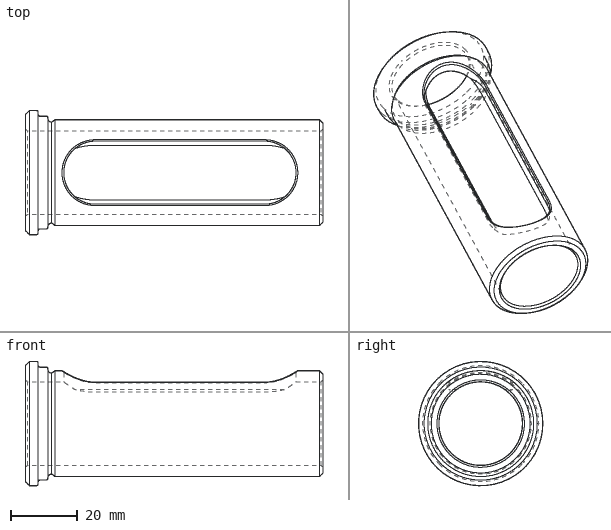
import cadquery as cq

length = 89.3
flange_diameter = 37.3
ring_diameter = 33.9
neck_diameter = 30.35
neck_cone_length = 1.1
shank_diameter = 31.8
bore_diameter = 25.0

flange_end = 3.8
ring_end = 6.8
shank_start = 8.9

flange_front_chamfer = 1.25
flange_back_fillet = 0.5
flange_root_fillet = 0.5
ring_fillet = 0.5
shank_chamfer = 1.1
bore_chamfer = 0.6

window_center = 46.3
window_straight_length = 50.7
window_width = 18.9
window_wall_bottom = 10.2
window_taper_angle = 59.0
window_taper_depth = 2.2
window_chamfer = 0.5

flange_radius = flange_diameter / 2
ring_radius = ring_diameter / 2
neck_radius = neck_diameter / 2
shank_radius = shank_diameter / 2
bore_radius = bore_diameter / 2

neck_end = shank_start - neck_cone_length
neck_root_fillet = neck_end - ring_end


def make_body():
    """Revolve the outer profile of the sleeve, still without its bore."""
    profile = (
        cq.Workplane("XY")
        .lineTo(0, flange_radius - flange_front_chamfer)
        .lineTo(flange_front_chamfer, flange_radius)
        .lineTo(flange_end - flange_back_fillet, flange_radius)
        .radiusArc((flange_end, flange_radius - flange_back_fillet), flange_back_fillet)
        .lineTo(flange_end, ring_radius + flange_root_fillet)
        .radiusArc((flange_end + flange_root_fillet, ring_radius), -flange_root_fillet)
        .lineTo(ring_end - ring_fillet, ring_radius)
        .radiusArc((ring_end, ring_radius - ring_fillet), ring_fillet)
        .lineTo(ring_end, neck_radius + neck_root_fillet)
        .radiusArc((neck_end, neck_radius), -neck_root_fillet)
        .lineTo(shank_start, shank_radius)
        .lineTo(length - shank_chamfer, shank_radius)
        .lineTo(length, shank_radius - shank_chamfer)
        .lineTo(length, 0)
        .close()
    )
    return profile.revolve(360, (0, 0, 0), (1, 0, 0))


def make_bore():
    """Through bore with a chamfered mouth at both ends."""
    mouth_radius = bore_radius + bore_chamfer
    profile = (
        cq.Workplane("XY")
        .lineTo(0, mouth_radius)
        .lineTo(bore_chamfer, bore_radius)
        .lineTo(length - bore_chamfer, bore_radius)
        .lineTo(length, mouth_radius)
        .lineTo(length, 0)
        .close()
    )
    return profile.revolve(360, (0, 0, 0), (1, 0, 0))


def window_outline():
    """Round-ended slot outline at the foot of the window's vertical walls."""
    return (
        cq.Workplane("XY", origin=(window_center, 0, window_wall_bottom))
        .slot2D(window_straight_length + window_width, window_width)
    )


def cut_window(body):
    """Cut the window from above and chamfer its outer rim."""
    walls = window_outline().extrude(shank_radius)
    bottom = window_outline().extrude(-window_taper_depth, taper=window_taper_angle)
    half_length = (window_straight_length + window_width) / 2
    rim_floor = (shank_radius**2 - (window_width / 2) ** 2) ** 0.5 - window_chamfer
    rim = cq.selectors.BoxSelector(
        (window_center - half_length, -window_width, rim_floor),
        (window_center + half_length, window_width, flange_radius),
    )
    return body.cut(walls).cut(bottom).edges(rim).chamfer(window_chamfer)


result = cut_window(make_body()).cut(make_bore())